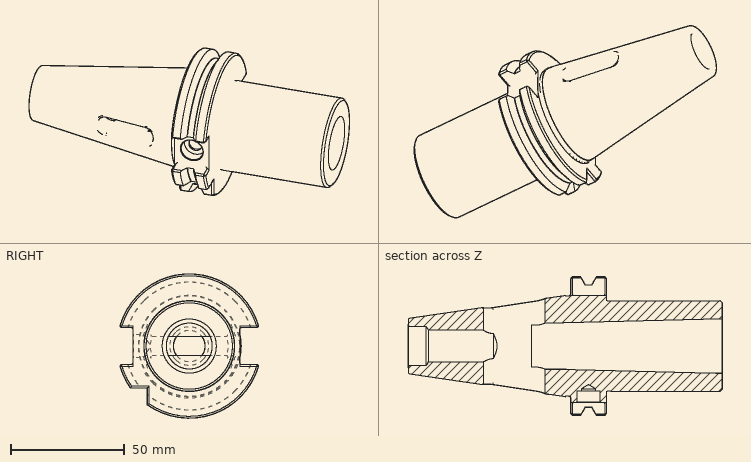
import cadquery as cq
import math


taper_length = 68.25
gauge_radius = 44.45 / 2
taper_slope = 7 / 24 / 2
small_radius = gauge_radius - taper_length * taper_slope
taper_end_fillet = 1.0
taper_overrun = 0.95
relief_radius = gauge_radius - 0.1
relief_fillet = 0.75

flange_start = taper_length + 3.2
flange_width = 15.9
flange_end = flange_start + flange_width
flange_radius = 63.55 / 2
edge_chamfer = 0.85
groove_center = taper_length + 11.1
groove_floor_radius = 56.25 / 2
groove_mouth_width = 7.1
groove_flank_angle = 30
groove_fillet = 0.2

drive_width = 16.1
drive_floor_front = 24.8
drive_floor_back = 22.3
drive_slots = ((-1, drive_floor_front), (1, drive_floor_back))
drive_corner_fillet = 0.5
notch_y = -18.5
notch_z = -18.5

total_length = 138.25
shank_radius = 40 / 2
shank_chamfer = 1.0
neck_radius = 39.7 / 2
neck_fillet = 0.8
neck_flat = 0.4
neck_runout = 0.6

stud_mouth_fillet = 1.0
stud_pilot_radius = 17 / 2
stud_pilot_depth = 8.0
stud_step_angle = 60
thread_radius = 13.84 / 2
thread_depth = 37.5
drill_half_angle = 59

socket_mouth_radius = 23.825 / 2
socket_slope = 1 / 19.922 / 2
socket_floor_radius = 20.2 / 2
socket_depth = 84.0
socket_taper_length = (socket_mouth_radius - socket_floor_radius) / socket_slope

slot_width = 8.3
slot_start = 33.2
slot_length = 27.0
slot_edge_fillet = 0.8

pocket_radius = 10 / 2
pocket_depth = 5.0
pocket_chamfer = 0.3
pilot_radius = 6 / 2
pilot_depth = 1.0

selection_margin = 0.1


def revolve(points):
    """Turn a closed (x, radius) outline about the X axis."""
    return cq.Workplane("XY").polyline(points).close().revolve(360, (0, 0, 0), (1, 0, 0))


def run_for_rise(rise, angle_from_axis):
    """Length along an axis over which a cone of the given angle changes radius by rise."""
    return rise / math.tan(math.radians(angle_from_axis))


def symmetric_box(x_low, x_high, half_y, half_z):
    """Selector for edges whose center lies in a box centered on the X axis."""
    return cq.selectors.BoxSelector((x_low, -half_y, -half_z), (x_high, half_y, half_z))


def make_taper():
    taper_end = taper_length + taper_overrun
    taper = revolve([
        (0, 0),
        (0, small_radius),
        (taper_end, gauge_radius + taper_overrun * taper_slope),
        (taper_end, relief_radius),
        (flange_start, relief_radius),
        (flange_start, 0),
    ])
    return taper.faces("<X").edges().fillet(taper_end_fillet)


def cut_drift_slot(taper):
    slot_end = slot_start + slot_length
    slot = cq.Workplane("XZ", origin=((slot_start + slot_end) / 2, 0, 0)).slot2D(slot_length, slot_width)
    taper = taper.cut(slot.extrude(flange_radius, both=True))
    around_slot = symmetric_box(
        slot_start - selection_margin, slot_end + selection_margin, gauge_radius, slot_width)
    return taper.edges(around_slot).edges("not |Y").fillet(slot_edge_fillet)


def make_root_fillet(face_x, direction, radius, fillet):
    """Ring with a concave quarter-round between a flange face and a cylinder."""
    end_x = face_x + direction * fillet
    bend = fillet * (1 - math.sqrt(0.5))
    outline = cq.Workplane("XY").moveTo(face_x, 0).lineTo(face_x, radius + fillet)
    outline = outline.threePointArc((face_x + direction * bend, radius + bend), (end_x, radius))
    return outline.lineTo(end_x, 0).close().revolve(360, (0, 0, 0), (1, 0, 0))


def make_groove():
    half_mouth = groove_mouth_width / 2
    depth = flange_radius - groove_floor_radius
    half_floor = half_mouth - depth * math.tan(math.radians(groove_flank_angle))
    groove = revolve([
        (groove_center - half_mouth, flange_radius),
        (groove_center - half_floor, groove_floor_radius),
        (groove_center + half_floor, groove_floor_radius),
        (groove_center + half_mouth, flange_radius),
    ])
    floor_edges = cq.selectors.RadiusNthSelector(0)
    return groove.edges("%CIRCLE").edges(floor_edges).fillet(groove_fillet)


def make_drive_cutter(side, floor):
    height = flange_radius - floor
    cutter = cq.Workplane("XY").box(flange_width, height, drive_width)
    return cutter.translate((flange_start + flange_width / 2, side * (floor + height / 2), 0))


def break_flange_edges(disc):
    """Chamfer the rim and slot edges; the slot floors stay sharp at the flange faces."""
    x_low = flange_start - selection_margin
    x_high = flange_end + selection_margin
    floor_lines = symmetric_box(x_low, x_high, flange_radius, drive_width / 2 - selection_margin)
    slot_zone = symmetric_box(x_low, x_high, flange_radius, drive_width / 2 + selection_margin)
    floor_zone = symmetric_box(
        x_low, x_high, drive_floor_front + selection_margin, drive_width / 2 + selection_margin)
    rim_edges = disc.faces("<X or >X").edges(cq.selectors.InverseSelector(floor_lines))
    outer_corners = disc.edges("|X").edges(slot_zone - floor_zone)
    disc = rim_edges.add(outer_corners).chamfer(edge_chamfer)
    return disc.edges("|X").edges(floor_zone).fillet(drive_corner_fillet)


def make_flange():
    start_plane = cq.Workplane("YZ", origin=(flange_start, 0, 0))
    disc = start_plane.circle(flange_radius).extrude(flange_width)
    notch = start_plane.moveTo(notch_y, notch_z).rect(-flange_radius, -flange_radius, centered=False)
    disc = disc.cut(notch.extrude(flange_width))
    for side, floor in drive_slots:
        disc = disc.cut(make_drive_cutter(side, floor))
    return break_flange_edges(disc).cut(make_groove())


def make_shank():
    neck_end = flange_end + neck_fillet + neck_flat
    return revolve([
        (flange_end, 0),
        (flange_end, neck_radius),
        (neck_end, neck_radius),
        (neck_end + neck_runout, shank_radius),
        (total_length - shank_chamfer, shank_radius),
        (total_length, shank_radius - shank_chamfer),
        (total_length, 0),
    ])


def make_stud_bore():
    step_end = stud_pilot_depth + run_for_rise(stud_pilot_radius - thread_radius, stud_step_angle)
    bore_tip = thread_depth + run_for_rise(thread_radius, drill_half_angle)
    bend = stud_mouth_fillet * (1 - math.sqrt(0.5))
    outline = cq.Workplane("XY").lineTo(0, stud_pilot_radius + stud_mouth_fillet)
    outline = outline.threePointArc(
        (bend, stud_pilot_radius + bend),
        (stud_mouth_fillet, stud_pilot_radius))
    outline = outline.lineTo(stud_pilot_depth, stud_pilot_radius)
    outline = outline.lineTo(step_end, thread_radius)
    outline = outline.lineTo(thread_depth, thread_radius)
    outline = outline.lineTo(bore_tip, 0)
    return outline.close().revolve(360, (0, 0, 0), (1, 0, 0))


def make_socket():
    taper_end = total_length - socket_taper_length
    floor = total_length - socket_depth
    return revolve([
        (total_length, 0),
        (total_length, socket_mouth_radius),
        (taper_end, socket_floor_radius),
        (floor, socket_floor_radius),
        (floor, 0),
    ])


def make_pocket():
    """Stepped hole about a Y-parallel axis, drawn as (radius, y) and turned."""
    mouth = -drive_floor_front
    step = mouth + pocket_depth
    pilot_floor = step + pilot_depth
    tip = pilot_floor + run_for_rise(pilot_radius, drill_half_angle)
    outline = cq.Workplane("XY").polyline([
        (0, mouth),
        (pocket_radius + pocket_chamfer, mouth),
        (pocket_radius, mouth + pocket_chamfer),
        (pocket_radius, step),
        (pilot_radius, step),
        (pilot_radius, pilot_floor),
        (0, tip),
    ])
    pocket = outline.close().revolve(360, (0, 0, 0), (0, 1, 0))
    return pocket.translate((groove_center, 0, 0))


body = cut_drift_slot(make_taper())
body = body.union(make_flange()).union(make_shank())
body = body.union(make_root_fillet(flange_start, -1, relief_radius, relief_fillet))
body = body.union(make_root_fillet(flange_end, 1, neck_radius, neck_fillet))
result = body.cut(make_stud_bore()).cut(make_socket()).cut(make_pocket())